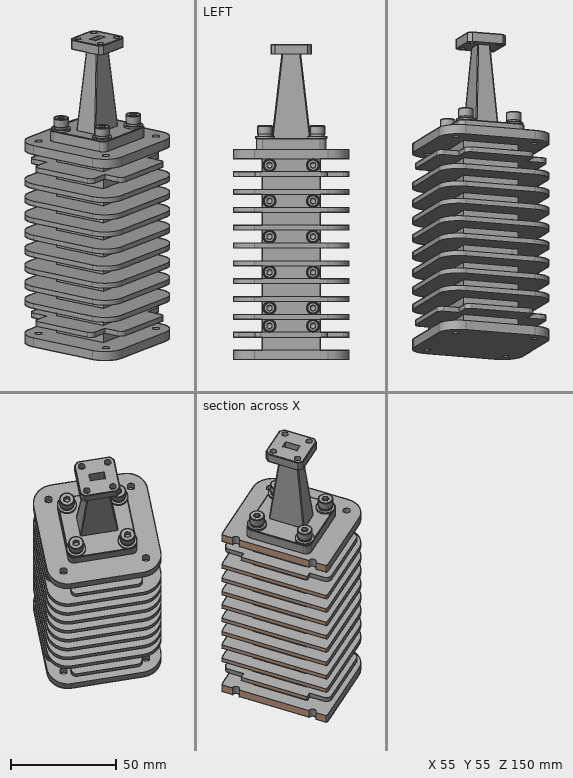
import cadquery as cq
import math

total_height = 150
plate_side = 55.0
plate_corner_radius = 10.0

body_height = 100.0
end_plate_thickness = 4.5
plate_hole_diameter = 3.5
plate_hole_offset = 20.0
core_side = 27.8
fin_count = 10
fin_thickness = 2.4
notch_offset = 17.3
notch_tab_radius = 2.7
gap_count = fin_count + 1
fin_gap = (body_height - 2 * end_plate_thickness - fin_count * fin_thickness) / gap_count
fin_pitch = fin_gap + fin_thickness

edge_break = 0.3

block_side = 33.3
block_height = 5.3
block_corner_radius = 2.9
block_top = body_height + block_height

block_screw_x = 12.2
block_screw_y = 12.5
washer_diameter = 9
washer_thickness = 0.9
lock_washer_diameter = 6.6
lock_washer_thickness = 1.0
head_diameter = 7.0
head_height = 4.0
head_chamfer = 0.3
socket_width = 2.9
socket_depth = 2.1

flange_side = 19.2
flange_thickness = 4.7
flange_corner_chamfer = 1.8
flange_bottom = total_height - flange_thickness
flange_hole_diameter = 3
flange_hole_x = 6.8
flange_hole_y = 6.3
horn_base_x = 11.3
horn_base_y = 18.3
horn_top_x = 6.3
horn_top_y = 9
waveguide_x = 3.6
waveguide_y = 7.4
horn_edge_chamfer = 0.5

side_screw_y = 10.4
side_screw_gaps = [1, 2, 4, 6, 8, 10]
counterbore_diameter = 6.2
side_head_diameter = 5.5
side_head_height = 3
side_head_chamfer = 0.3
side_socket_width = 2.5
side_socket_depth = 1.5

hex_corner_ratio = 2 / math.sqrt(3)
socket_cone_slope = 30


def rounded_plate(side, thickness, radius, bottom):
    plate = cq.Workplane("XY").workplane(offset=bottom).rect(side, side).extrude(thickness)
    return plate.edges("|Z").fillet(radius)


def four_points(x, y):
    return [(-x, -y), (-x, y), (x, -y), (x, y)]


def end_plate(bottom):
    plate = rounded_plate(plate_side, end_plate_thickness, plate_corner_radius, bottom)
    hole_places = four_points(plate_hole_offset, plate_hole_offset)
    return plate.faces(">Z").workplane(origin=(0, 0, 0)).pushPoints(hole_places).hole(plate_hole_diameter)


def notched_fin(bottom):
    """Cross-shaped fin: square corners cut out and the tab ends rounded."""
    base = cq.Workplane("XY").workplane(offset=bottom)
    tab_x = base.rect(plate_side, 2 * notch_offset).extrude(fin_thickness)
    tab_y = base.rect(2 * notch_offset, plate_side).extrude(fin_thickness)
    return tab_x.edges("|Z").fillet(notch_tab_radius).union(tab_y.edges("|Z").fillet(notch_tab_radius))


def finned_body():
    body = cq.Workplane("XY").rect(core_side, core_side).extrude(body_height)
    body = body.union(end_plate(0)).union(end_plate(body_height - end_plate_thickness))
    for index in range(fin_count):
        bottom = end_plate_thickness + fin_gap + index * fin_pitch
        if index in (0, fin_count - 1):
            fin = notched_fin(bottom)
        else:
            fin = rounded_plate(plate_side, fin_thickness, plate_corner_radius, bottom)
        body = body.union(fin)
    return body


def screw_head(diameter, height, chamfer, hex_width, hex_depth):
    """Socket head standing on the XY plane, with its cone-bottomed socket facing +Z."""
    head = cq.Workplane("XY").circle(diameter / 2).extrude(height).faces(">Z").chamfer(chamfer)
    hex_diameter = hex_width * hex_corner_ratio
    hex_radius = hex_diameter / 2
    wall_bottom = height - hex_depth
    cone_tip = wall_bottom - hex_radius * math.tan(math.radians(socket_cone_slope))
    hexagon = (
        cq.Workplane("XY").workplane(offset=cone_tip)
        .polygon(6, hex_diameter).extrude(height - cone_tip)
    )
    drill = (
        cq.Workplane("XZ").moveTo(0, height).lineTo(hex_radius, height)
        .lineTo(hex_radius, wall_bottom).lineTo(0, cone_tip)
        .close().revolve(360, (0, 0, 0), (0, 1, 0))
    )
    return head.cut(hexagon.intersect(drill))


def block_screw():
    washer = cq.Workplane("XY").circle(washer_diameter / 2).extrude(washer_thickness)
    lock_washer = (
        cq.Workplane("XY").workplane(offset=washer_thickness)
        .circle(lock_washer_diameter / 2).extrude(lock_washer_thickness)
    )
    head = screw_head(head_diameter, head_height, head_chamfer, socket_width, socket_depth)
    head = head.translate((0, 0, washer_thickness + lock_washer_thickness))
    return washer.union(lock_washer).union(head)


def horn():
    taper = (
        cq.Workplane("XY").workplane(offset=block_top).rect(horn_base_x, horn_base_y)
        .workplane(offset=flange_bottom - block_top).rect(horn_top_x, horn_top_y)
        .loft(ruled=True)
    )
    return taper.edges("not(<Z or >Z)").chamfer(horn_edge_chamfer)


def mounting_block():
    block = rounded_plate(block_side, block_height, block_corner_radius, body_height)
    return block.faces(">Z").chamfer(edge_break)


def waveguide_flange():
    flange = (
        cq.Workplane("XY").workplane(offset=flange_bottom)
        .rect(flange_side, flange_side).extrude(flange_thickness)
        .edges("|Z").chamfer(flange_corner_chamfer)
        .faces(">Z").chamfer(edge_break)
    )
    hole_places = four_points(flange_hole_x, flange_hole_y)
    return flange.faces(">Z").workplane(origin=(0, 0, 0)).pushPoints(hole_places).hole(flange_hole_diameter)


def add_side_screws(body):
    counterbore = cq.Workplane("XY").circle(counterbore_diameter / 2).extrude(side_head_height)
    head = screw_head(
        side_head_diameter, side_head_height, side_head_chamfer, side_socket_width, side_socket_depth
    )
    cavity = counterbore.cut(head).rotate((0, 0, 0), (0, 1, 0), -90)
    for gap in side_screw_gaps:
        z = end_plate_thickness + gap * fin_pitch + fin_gap / 2
        for y in (-side_screw_y, side_screw_y):
            body = body.cut(cavity.translate((side_head_height - core_side / 2, y, z)))
    return body


result = add_side_screws(finned_body())
result = result.union(mounting_block())
result = result.union(horn()).union(waveguide_flange())

for x, y in four_points(block_screw_x, block_screw_y):
    result = result.union(block_screw().translate((x, y, block_top)))

waveguide = (
    cq.Workplane("XY").workplane(offset=body_height)
    .rect(waveguide_x, waveguide_y).extrude(total_height - body_height)
)
result = result.cut(waveguide)